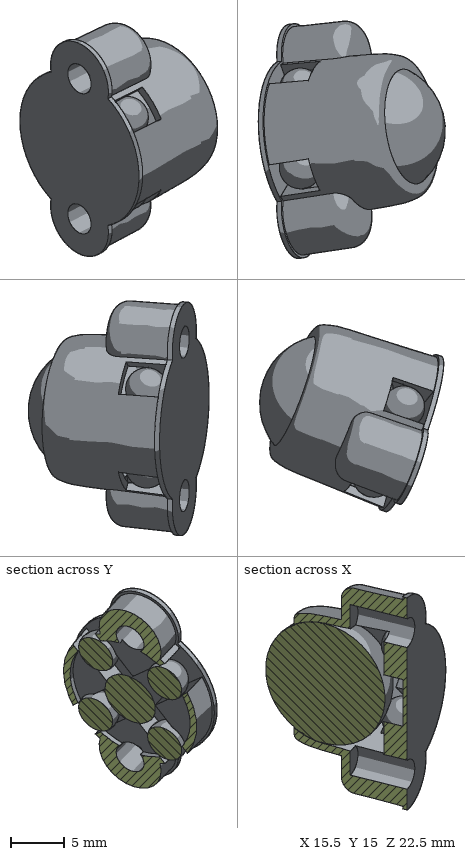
import cadquery as cq
import math


overall_length = 22.5
plate_diameter = 15.45
plate_thickness = 0.5
ear_radius = 3.75
ear_offset = overall_length / 2 - ear_radius

base_radius = 7.5
shoulder_radius = 7.15
shoulder_height = 9.0
housing_height = 11.99
crown_radius = 6.84
crown_height = 11.25
top_radius = 6.07
wall = 0.8

post_radius = 3.49
post_height = 7.0
post_draft = 1.0
post_fillet = 1.48
screw_hole_radius = 1.5
screw_hole_depth = 6.0

overall_height = 15.0
ball_radius = 6.35
ball_height = overall_height - ball_radius
roller_radius = 1.98
roller_height = plate_thickness + roller_radius + 0.02
roller_offset = 5.38
bed_height = roller_height
roller_angles = (45, 135, 225, 315)

window_width = 3.46
window_top = 4.5


def cylinder(radius, start, end, z=0.0):
    """Cylinder along +Y, centred at X = 0 and the given Z."""
    return cq.Workplane(cq.Solid.makeCylinder(
        radius, end - start, cq.Vector(0, start, z), cq.Vector(0, 1, 0)))


def revolved(points):
    """Solid of revolution about the Y axis from (radius, height) points."""
    return cq.Workplane("XY").polyline(points).close().revolve(360, (0, 0, 0), (0, 1, 0))


def sphere(radius, x, y, z):
    return cq.Workplane("XY").sphere(radius).translate((x, y, z))


def make_plate():
    plate = cylinder(plate_diameter / 2, 0, plate_thickness)
    for side in (-1, 1):
        plate = plate.union(cylinder(ear_radius, 0, plate_thickness, side * ear_offset))
    return plate


def make_shell():
    """Tapered outer shell whose crown curves over smoothly to the flat top."""
    profile = (
        cq.Workplane("XY")
        .moveTo(0, plate_thickness)
        .lineTo(base_radius, plate_thickness)
        .lineTo(shoulder_radius, shoulder_height)
        .spline([(crown_radius, crown_height), (top_radius, housing_height)], includeCurrent=True,
                tangents=[(shoulder_radius - base_radius, shoulder_height - plate_thickness), (-1, 0)])
        .lineTo(0, housing_height)
        .close()
    )
    return profile.revolve(360, (0, 0, 0), (0, 1, 0))


def make_post(side):
    """Drafted, round-topped screw post standing on one ear."""
    post = cq.Workplane("XZ", origin=(0, plate_thickness, side * ear_offset)).circle(post_radius)
    post = post.extrude(-(post_height - plate_thickness), taper=post_draft)
    return post.faces(">Y").edges().fillet(post_fillet)


def make_cavity():
    """Tapered hollow, one wall thickness inside the shell, above the solid roller bed."""
    taper = (base_radius - shoulder_radius) / (shoulder_height - plate_thickness)
    bed_radius = base_radius - wall - taper * (bed_height - plate_thickness)
    return revolved([
        (0, bed_height),
        (bed_radius, bed_height),
        (shoulder_radius - wall, shoulder_height),
        (0, shoulder_height),
    ])


def make_window(angle):
    """Radial cutter from the caster axis out through the shell wall."""
    window = cq.Workplane("XY").box(
        base_radius, window_top - plate_thickness, window_width, centered=(False, False, True))
    window = window.translate((0, plate_thickness, 0))
    return window.rotate((0, 0, 0), (0, 1, 0), angle)


def make_ball():
    """Ball joined with the four rollers that run into its underside."""
    ball = sphere(ball_radius, 0, ball_height, 0)
    for angle in roller_angles:
        x = roller_offset * math.cos(math.radians(angle))
        z = roller_offset * math.sin(math.radians(angle))
        ball = ball.union(sphere(roller_radius, x, roller_height, z))
    return ball


def make_housing(ball):
    housing = make_plate().union(make_shell())
    for side in (-1, 1):
        housing = housing.union(make_post(side))
    housing = housing.cut(make_cavity())
    for angle in roller_angles:
        housing = housing.cut(make_window(angle))
    for side in (-1, 1):
        housing = housing.cut(cylinder(screw_hole_radius, 0, screw_hole_depth, side * ear_offset))
    return housing.cut(ball)


ball = make_ball()
housing = make_housing(ball)
result = cq.Compound.makeCompound([*housing.solids().vals(), *ball.solids().vals()])